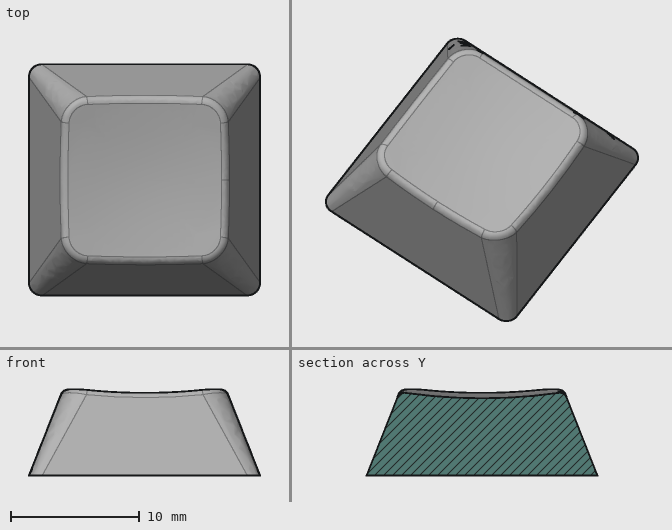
import cadquery as cq

base_side = 18.0
base_corner_radius = 1.0

taper_height = 7.2
taper_side = 12.31
taper_corner_radius = 2.1

dish_radius = 42.3
dish_floor = 6.03

rim_fillet = 0.58


def rounded_square(side, corner_radius, height):
    """Square with round corners, centred on the Z axis at a height."""
    square = cq.Sketch().rect(side, side).vertices().fillet(corner_radius)
    return square.moved(cq.Location(cq.Vector(0, 0, height)))


def tapered_body():
    """Four flat sloping walls joined by conical corners."""
    base = rounded_square(base_side, base_corner_radius, 0)
    top = rounded_square(taper_side, taper_corner_radius, taper_height)
    return cq.Workplane("XY").placeSketch(base, top).loft(ruled=True)


def dish_cutter():
    """Sphere whose lowest point is the middle of the dish."""
    return cq.Workplane("XY").sphere(dish_radius).translate((0, 0, dish_floor + dish_radius))


dished = tapered_body().cut(dish_cutter())
rim_zone = cq.selectors.BoxSelector(
    (-base_side, -base_side, dish_floor),
    (base_side, base_side, taper_height),
    boundingbox=True,
)
result = dished.edges(rim_zone).fillet(rim_fillet)